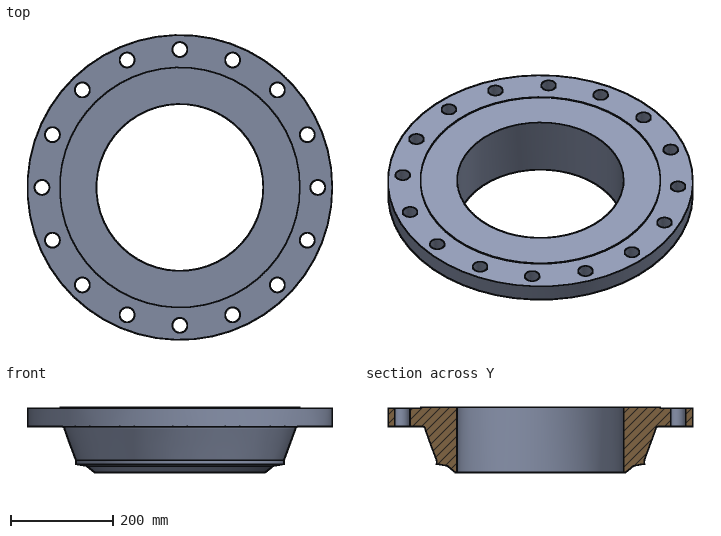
import cadquery as cq

total_height = 128.5
raised_face_height = 2.0
flange_thickness = 36.5
flange_top = total_height - raised_face_height
flange_bottom = flange_top - flange_thickness
hub_fillet_height = 5.0
taper_bottom = 24.5
hub_end_bottom = 17.0
bevel_top = 13.0

flange_diameter = 597.0
raised_face_diameter = 470.0
hub_root_diameter = 462.0
taper_top_diameter = 452.5
hub_end_diameter = 407.5
bevel_top_diameter = 365.5
weld_end_diameter = 333.0
bore_diameter = 326.0

bolt_count = 16
bolt_circle_diameter = 539.5
bolt_hole_diameter = 28.5

fillet_middle_radius = 227.5
fillet_middle_height = flange_bottom - hub_fillet_height / 3


def make_body():
    """Revolve half of the cross-section around the flange axis."""
    profile = (
        cq.Workplane("XZ")
        .moveTo(bore_diameter / 2, 0)
        .lineTo(weld_end_diameter / 2, 0)
        .lineTo(bevel_top_diameter / 2, bevel_top)
        .lineTo(hub_end_diameter / 2, hub_end_bottom)
        .lineTo(hub_end_diameter / 2, taper_bottom)
        .lineTo(taper_top_diameter / 2, flange_bottom - hub_fillet_height)
        .threePointArc(
            (fillet_middle_radius, fillet_middle_height),
            (hub_root_diameter / 2, flange_bottom),
        )
        .lineTo(flange_diameter / 2, flange_bottom)
        .lineTo(flange_diameter / 2, flange_top)
        .lineTo(raised_face_diameter / 2, flange_top)
        .lineTo(raised_face_diameter / 2, total_height)
        .lineTo(bore_diameter / 2, total_height)
        .close()
    )
    return profile.revolve(360, (0, 0, 0), (0, 1, 0))


def make_bolt_holes():
    """Cylinders that pass through the flange on the bolt circle."""
    return (
        cq.Workplane("XY")
        .workplane(offset=flange_bottom)
        .polarArray(bolt_circle_diameter / 2, 0, 360, bolt_count)
        .circle(bolt_hole_diameter / 2)
        .extrude(flange_thickness)
    )


result = make_body().cut(make_bolt_holes())